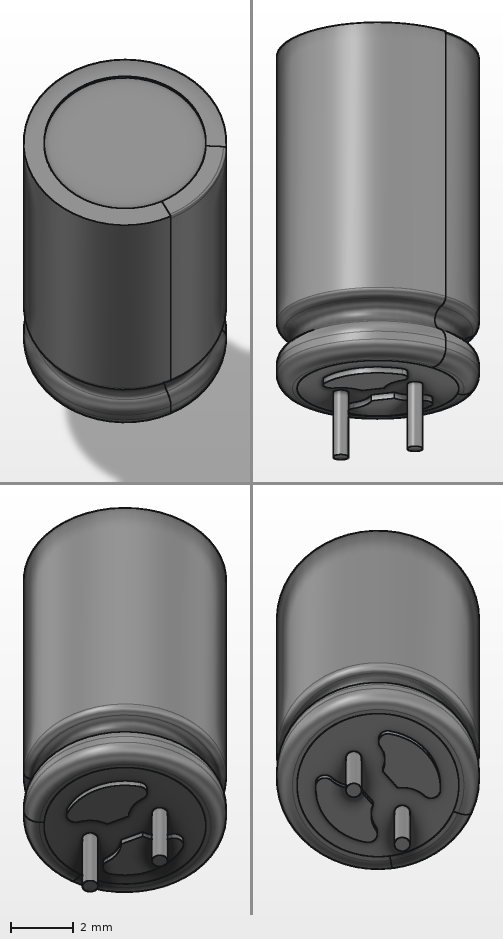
import cadquery as cq
import math


sleeve_radius = 3.247
sleeve_bottom = 0.2
sleeve_top = 11.5
bore_radius = 2.59
bottom_round = 0.5

throat_radius = 2.73
throat_round = 0.4
lower_shoulder_round = 0.5
upper_shoulder_round = 0.3
lower_shoulder_z = 0.97

stripe_angle = 60
stripe_edge_round = 0.1

can_recess = 0.1

base_thickness = 1.0
foot_radius = 2.0
foot_gap = 1.0
foot_corner_round = 0.3

pin_radius = 0.25
pin_spacing = 2.5
pin_bottom = -2.0
pin_clearance_radius = 1.0

base_top = sleeve_bottom + base_thickness
pin_places = [(-pin_spacing / 2, 0), (pin_spacing / 2, 0)]


def shoulder_rise(shoulder_round):
    """Height from the end of a shoulder to the middle of the throat, all arcs tangent."""
    reach = shoulder_round + throat_round
    return math.sqrt(reach**2 - (reach - (sleeve_radius - throat_radius)) ** 2)


throat_z = lower_shoulder_z + shoulder_rise(lower_shoulder_round)
upper_shoulder_z = throat_z + shoulder_rise(upper_shoulder_round)


def on_arc(center, radius, angle):
    return (center[0] + radius * math.cos(angle), center[1] + radius * math.sin(angle))


def sleeve_profile():
    """Half section of the sleeve wall in the XZ plane."""
    bottom_center = (sleeve_radius - bottom_round, sleeve_bottom + bottom_round)
    lower_center = (sleeve_radius - lower_shoulder_round, lower_shoulder_z)
    upper_center = (sleeve_radius - upper_shoulder_round, upper_shoulder_z)
    lower_angle = math.asin(shoulder_rise(lower_shoulder_round) / (lower_shoulder_round + throat_round))
    upper_angle = math.asin(shoulder_rise(upper_shoulder_round) / (upper_shoulder_round + throat_round))
    return (
        cq.Workplane("XZ")
        .moveTo(bore_radius, sleeve_bottom)
        .lineTo(sleeve_radius - bottom_round, sleeve_bottom)
        .threePointArc(
            on_arc(bottom_center, bottom_round, -math.pi / 4),
            (sleeve_radius, sleeve_bottom + bottom_round),
        )
        .lineTo(sleeve_radius, lower_shoulder_z)
        .threePointArc(
            on_arc(lower_center, lower_shoulder_round, lower_angle / 2),
            on_arc(lower_center, lower_shoulder_round, lower_angle),
        )
        .threePointArc(
            (throat_radius, throat_z),
            on_arc(upper_center, upper_shoulder_round, -upper_angle),
        )
        .threePointArc(
            on_arc(upper_center, upper_shoulder_round, -upper_angle / 2),
            (sleeve_radius, upper_shoulder_z),
        )
        .lineTo(sleeve_radius, sleeve_top)
        .lineTo(bore_radius, sleeve_top)
        .close()
    )


def wall_sector(start_angle, sweep):
    """Part of the sleeve wall, swept counterclockwise from start_angle."""
    wall = sleeve_profile().revolve(sweep, (0, 0, 0), (0, -1, 0))
    return wall.rotate((0, 0, 0), (0, 0, 1), start_angle + sweep)


def make_sleeve():
    return wall_sector(stripe_angle / 2, 360 - stripe_angle)


def make_stripe():
    stripe = wall_sector(-stripe_angle / 2, stripe_angle)
    top_outer_edge = cq.selectors.NearestToPointSelector((sleeve_radius, 0, sleeve_top))
    return stripe.faces(">Z").edges(top_outer_edge).fillet(stripe_edge_round)


def make_can():
    height = sleeve_top - can_recess - base_top
    return cq.Workplane("XY", origin=(0, 0, base_top)).circle(bore_radius).extrude(height)


def make_feet():
    """Two disc segments hollowed around the pins, with rounded outer corners."""
    disc = cq.Workplane("XY").circle(foot_radius).extrude(sleeve_bottom)
    gap = cq.Workplane("XY").rect(2 * foot_radius, foot_gap).extrude(sleeve_bottom)
    clearance = cq.Workplane("XY").pushPoints(pin_places).circle(pin_clearance_radius).extrude(sleeve_bottom)
    feet = disc.cut(gap).cut(clearance)
    corner_x = (foot_radius**2 - pin_clearance_radius**2 + (pin_spacing / 2) ** 2) / pin_spacing
    corner_y = math.sqrt(foot_radius**2 - corner_x**2)
    for x in (-corner_x, corner_x):
        for y in (-corner_y, corner_y):
            corner = cq.selectors.NearestToPointSelector((x, y, sleeve_bottom / 2))
            feet = feet.edges("|Z").edges(corner).fillet(foot_corner_round)
    return feet


def make_base():
    disc = cq.Workplane("XY", origin=(0, 0, sleeve_bottom)).circle(bore_radius).extrude(base_thickness)
    holes = (
        cq.Workplane("XY", origin=(0, 0, sleeve_bottom))
        .pushPoints(pin_places)
        .circle(pin_radius)
        .extrude(base_thickness)
    )
    return disc.union(make_feet()).cut(holes)


def make_pin(place):
    return (
        cq.Workplane("XY", origin=(0, 0, pin_bottom))
        .center(*place)
        .circle(pin_radius)
        .extrude(base_top - pin_bottom)
    )


sleeve = make_sleeve()
stripe = make_stripe()
can = make_can()
base = make_base()
pins = [make_pin(place) for place in pin_places]

result = cq.Compound.makeCompound(
    [sleeve.val(), stripe.solids().val(), can.val(), base.solids().val(), *[pin.val() for pin in pins]]
)